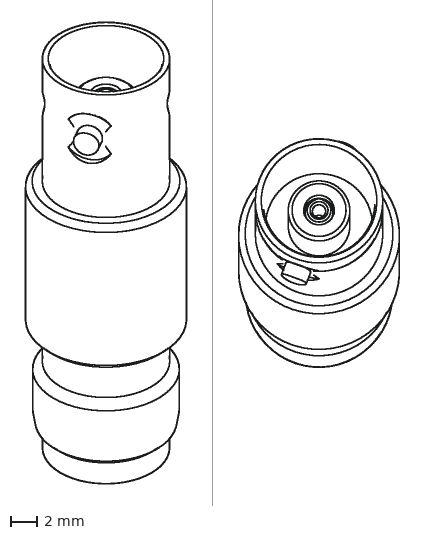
import cadquery as cq

length = 35.9
barrel_diameter = 9.65
barrel_radius = barrel_diameter / 2

sleeve_radius = 6.1
sleeve_bottom = 11.3
sleeve_top = 24.6
sleeve_chamfer = 0.5

collar_radius = 5.55
collar_tip_radius = 5.4
collar_bottom = 1.95
collar_tip = 2.48
collar_taper_start = 3.55
collar_shoulder = 7.25
collar_top = 7.97

groove_center = 31.75
groove_half_width = 1.3
groove_depth = 0.18

stud_radius = 1.0
stud_tip_radius = collar_radius
stud_root_radius = 4.38
seat_floor = 4.52
seat_floor_radius = 2.12
seat_rim_radius = 2.25

socket_mouth_radius = 4.38
socket_top_radius = 4.25
socket_floor_radius = 4.05
socket_lead_in = 0.45
socket_floor = 27.3

boss_top = 32.75
boss_radius = 2.35
boss_top_radius = 2.05
boss_chamfer_height = 0.3

well_radius = 1.15
well_depth = 1.08
contact_base_radius = 1.05
contact_rim_radius = 0.9
contact_top = boss_top - 0.15
contact_mouth_radius = 0.7
contact_bore_radius = 0.5
contact_chamfer_depth = 0.3
contact_bore_bottom = 28.72


def turned_body():
    """Outer profile of barrel, collar, sleeve and groove, turned about Z."""
    chamfered_radius = sleeve_radius - sleeve_chamfer
    return (
        cq.Workplane("XZ")
        .moveTo(0, 0)
        .lineTo(barrel_radius, 0)
        .lineTo(barrel_radius, collar_bottom)
        .lineTo(collar_tip_radius, collar_tip)
        .lineTo(collar_radius, collar_taper_start)
        .lineTo(collar_radius, collar_shoulder)
        .lineTo(barrel_radius, collar_top)
        .lineTo(barrel_radius, sleeve_bottom)
        .lineTo(chamfered_radius, sleeve_bottom)
        .lineTo(sleeve_radius, sleeve_bottom + sleeve_chamfer)
        .lineTo(sleeve_radius, sleeve_top - sleeve_chamfer)
        .lineTo(chamfered_radius, sleeve_top)
        .lineTo(barrel_radius, sleeve_top)
        .lineTo(barrel_radius, groove_center - groove_half_width)
        .threePointArc(
            (barrel_radius - groove_depth, groove_center),
            (barrel_radius, groove_center + groove_half_width),
        )
        .lineTo(barrel_radius, length)
        .lineTo(0, length)
        .close()
        .revolve(360, (0, 0, 0), (0, 1, 0))
    )


def socket_cavity():
    """Space inside the socket, leaving the boss and its contact standing."""
    return (
        cq.Workplane("XZ")
        .moveTo(0, length)
        .lineTo(socket_mouth_radius, length)
        .lineTo(socket_top_radius, length - socket_lead_in)
        .lineTo(socket_floor_radius, socket_floor)
        .lineTo(boss_radius, socket_floor)
        .lineTo(boss_radius, boss_top - boss_chamfer_height)
        .lineTo(boss_top_radius, boss_top)
        .lineTo(well_radius, boss_top)
        .lineTo(well_radius, boss_top - well_depth)
        .lineTo(contact_base_radius, boss_top - well_depth)
        .lineTo(contact_rim_radius, contact_top)
        .lineTo(contact_mouth_radius, contact_top)
        .lineTo(contact_bore_radius, contact_top - contact_chamfer_depth)
        .lineTo(contact_bore_radius, contact_bore_bottom)
        .lineTo(0, contact_bore_bottom)
        .close()
        .revolve(360, (0, 0, 0), (0, 1, 0))
    )


def stud_seat(side):
    """Flaring round recess whose flat floor faces along Y (side is -1 or +1)."""
    flare = (seat_rim_radius - seat_floor_radius) / (barrel_radius - seat_floor)
    outer_reach = sleeve_radius
    outer_radius = seat_floor_radius + flare * (outer_reach - seat_floor)
    cone = cq.Solid.makeCone(
        seat_floor_radius,
        outer_radius,
        outer_reach - seat_floor,
        pnt=cq.Vector(0, side * seat_floor, groove_center),
        dir=cq.Vector(0, side, 0),
    )
    return cq.Workplane(obj=cone)


def bayonet_studs():
    """Pair of studs along Y, rooted in the socket wall, with tips on a cylinder about Z."""
    rod = (
        cq.Workplane("XZ", origin=(0, 0, groove_center))
        .circle(stud_radius)
        .extrude(sleeve_radius, both=True)
    )
    reach = (
        cq.Workplane("XY", origin=(0, 0, groove_center - stud_radius))
        .circle(stud_tip_radius)
        .circle(stud_root_radius)
        .extrude(2 * stud_radius)
    )
    return rod.intersect(reach)


body = turned_body().cut(socket_cavity())
for side in (-1, 1):
    body = body.cut(stud_seat(side))
result = body.union(bayonet_studs())